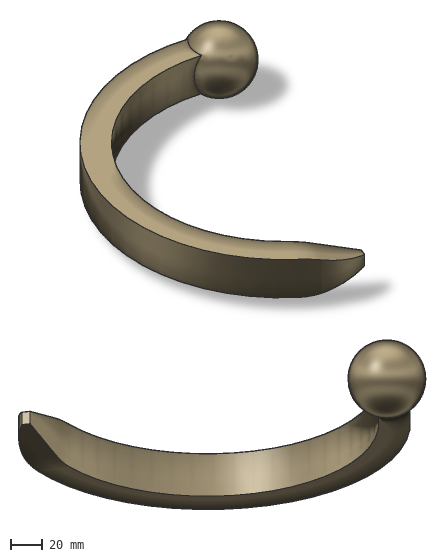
import cadquery as cq
import math

ball_diameter = 50.0
ball_radius = ball_diameter / 2

arm_center_x = 120.0
arm_center_y = -6.0
arm_outer_radius = 129.8
arm_width = 20.2
arm_inner_radius = arm_outer_radius - arm_width
arm_height = 30.0

tip_inner_x = 235.4
tip_width = 5.5
tip_outer_x = tip_inner_x + tip_width
taper_inner_y = -35.5
taper_outer_y = -32.0
bulge_x = 246.5
bulge_y = -14.5
bend_start_y = -47.5
bend_end_y = -32.0
tip_drop = 10.5
cut_margin = 5.5


def arc_x(radius, y, side):
    """X on a circle about the arm axis; side is -1 for the ball end, 1 for the tip end."""
    return arm_center_x + side * math.sqrt(radius**2 - (y - arm_center_y) ** 2)


def make_ball():
    return cq.Workplane("XY").sphere(ball_radius)


def make_arm():
    return (
        cq.Workplane("XY")
        .workplane(offset=-arm_height / 2)
        .moveTo(arc_x(arm_outer_radius, 0, -1), 0)
        .threePointArc(
            (arm_center_x, arm_center_y - arm_outer_radius),
            (arc_x(arm_outer_radius, taper_outer_y, 1), taper_outer_y),
        )
        .threePointArc((bulge_x, bulge_y), (tip_outer_x, 0))
        .lineTo(tip_inner_x, 0)
        .lineTo(arc_x(arm_inner_radius, taper_inner_y, 1), taper_inner_y)
        .threePointArc(
            (arm_center_x, arm_center_y - arm_inner_radius),
            (arc_x(arm_inner_radius, 0, -1), 0),
        )
        .close()
        .extrude(arm_height)
    )


def make_tip_cutter():
    """Material above the tip: a rounded bend followed by a tangent flat slope."""
    half_height = arm_height / 2
    bend_length = bend_end_y - bend_start_y
    slope_angle = math.atan(tip_drop / (bend_length / 2 - bend_end_y))
    bend_radius = bend_length / math.sin(slope_angle)
    bend_center_z = half_height - bend_radius

    def bend_point(angle):
        return (
            bend_start_y + bend_radius * math.sin(angle),
            bend_center_z + bend_radius * math.cos(angle),
        )

    slope_end_y = cut_margin
    slope_end_z = bend_point(slope_angle)[1] - (slope_end_y - bend_end_y) * math.tan(slope_angle)
    return (
        cq.Workplane("YZ")
        .workplane(offset=arm_center_x)
        .moveTo(bend_start_y, half_height)
        .threePointArc(bend_point(slope_angle / 2), bend_point(slope_angle))
        .lineTo(slope_end_y, slope_end_z)
        .lineTo(slope_end_y, half_height + cut_margin)
        .lineTo(bend_start_y, half_height + cut_margin)
        .close()
        .extrude(arm_outer_radius + cut_margin)
    )


upper_cutter = make_tip_cutter()
lower_cutter = upper_cutter.mirror("XY")
arm = make_arm().cut(upper_cutter).cut(lower_cutter)
result = make_ball().union(arm)